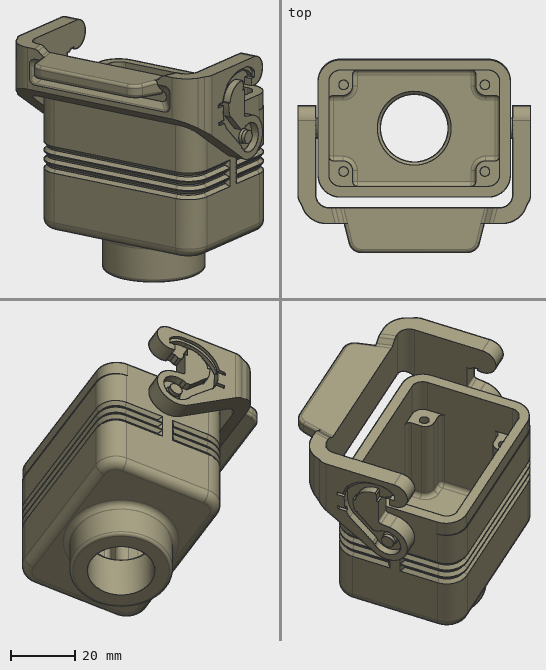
import cadquery as cq
import math

BODY_X, BODY_Y, BODY_R = 60.0, 43.0, 7.0
NECK_LENGTH, NECK_R = 13.1, 16.0
BODY_HEIGHT = 45.0
BODY_BOTTOM = NECK_LENGTH
BODY_TOP = BODY_BOTTOM + BODY_HEIGHT
BODY_BOTTOM_FILLET, NECK_ROOT_FILLET, NECK_END_FILLET = 3.0, 2.0, 1.0
COLLAR_HEIGHT, COLLAR_INSET = 5.1, 0.25
OVERLAP = 1.0
TOLERANCE = 0.01

WALL = 3.4
CAVITY_X, CAVITY_Y = BODY_X - 2 * WALL, BODY_Y - 2 * WALL
CAVITY_R = BODY_R - WALL
FLOOR_THICKNESS = 3.4
FLOOR_Z = BODY_BOTTOM + FLOOR_THICKNESS
BORE_R, BORE_CHAMFER = 10.5, 1.0

POST_SPACING_X, POST_SPACING_Y = 44.0, 27.0
POST_REACH_X, POST_REACH_Y = 2.8, 3.3
POST_R, POST_DROP = 3.0, 11.8
POST_CORNER_FILLET, FLOOR_FILLET = 1.5, 1.49
SCREW_HOLE_R, SCREW_HOLE_DEPTH = 1.5, 15.0

GROOVE_COUNT, GROOVE_WIDTH, GROOVE_DEPTH, GROOVE_PITCH = 3, 2.7, 1.1, 3.0
GROOVE_MID_Z = 36.6
GROOVE_WALL_ANGLE = 45.0
LAND_WIDTH = 3.5

BAIL_HALF_X, LEG_THICKNESS, PLATE_THICKNESS = 36.25, 5.625, 5.0
PLATE_Y, BAIL_TOP = -29.75, 74.7
PLATE_BACK_Y = PLATE_Y + PLATE_THICKNESS
BAIL_OUTER_R, BAIL_INNER_R = 9.0, 4.0
CORNER_FLAT_START, CORNER_FLAT_END = (34.3, -25.8), (35.3, -23.5)
CORNER_BULGE = (36.0, -22.2)
PIVOT_Z, EYE_R = 49.0, 7.0
HOOK_R, HOOK_Y = 4.65, 2.4
HOOK_Z = BAIL_TOP - HOOK_R
HOOK_BOTTOM_Z = HOOK_Z - HOOK_R
LEG_EDGE_Y = -2.85
HOOK_TIP_Y, MOUTH_Z = 0.85, 66.3
MOUTH_FLAT_END_Y, MOUTH_SLOPE_END_Y = -0.6, -1.8
EYE_SHOULDER_ANGLE = math.radians(8.5)
PLATE_CORNER_Z = 61.1
THROAT_FILLET = 1.0

HANDLE_TIP_Y, HANDLE_TIP_HALF_X = -38.75, 19.55
HANDLE_TAPER = math.tan(math.radians(14))
HANDLE_TOP = BAIL_TOP - 2.0
HANDLE_TIP_THICKNESS, HANDLE_ROOT_THICKNESS = 4.15, 4.85
HANDLE_CORNER_R, HANDLE_EDGE_R = 4.0, 1.0
NOTCH_HALF_X, NOTCH_RUN = 21.3, 2.55
NOTCH_CREST_R, NOTCH_ROOT_R = 2.0, 1.5
POCKET_MOUTH_X, POCKET_MOUTH_Z, POCKET_MOUTH_R = 52.1, 7.5, 1.7
POCKET_FLOOR_X, POCKET_FLOOR_Z, POCKET_FLOOR_R = 47.6, 3.5, 1.7
POCKET_MID_Z, POCKET_DEPTH, POCKET_LIP = 67.15, 2.0, 0.5

RECESS_DEPTH, LEDGE_DEPTH, EYE_RECESS_R = 2.5, 1.0, 4.7
PIN_R, PIN_PROUD = 2.1, 2.0
PIN_FLARE, PIN_FLARE_LENGTH = 0.35, 0.8
SPACER_R = 3.2

CHANNEL_TIP = [(2.36, 68.0), (2.36, 68.5)]
CHANNEL_ARCH_RISE, CHANNEL_CROWN = (-0.6, 71.0), (-3.7, 71.4)
CHANNEL_ARCH_FALL, CHANNEL_ARCH_END = (-10.2, 69.5), (-14.6, 64.2)
CHANNEL_OUTER_BEND = [(-14.5, 60.4), (-13.95, 57.5), (-12.65, 55.05)]
ARM_TO_EYE = [(-4.76, 47.5), (-4.2, 46.5), (-2.0, 45.0)]
EYE_TO_ARM = [(-2.0, 53.4), (-3.2, 52.7), (-4.76, 52.7), (-10.2, 58.2)]
CHANNEL_INNER_BEND = [(-10.7, 58.3), (-11.35, 60.3), (-11.6, 63.1)]
CHANNEL_INNER_ARCH = [(-10.85, 63.1), (-8.4, 67.3), (-4.0, 68.6)]
CHANNEL_MOUTH_Y, CHANNEL_MOUTH_Z = -3.6, 68.0
LEDGE_TIP = [(2.6, 68.1), (2.6, 69.9)]
LEDGE_ARCH_RISE, LEDGE_CROWN = (0.15, 71.9), (-3.5, 72.4)
LEDGE_ARCH_FALL, LEDGE_ARCH_END = (-10.5, 70.7), (-15.0, 64.2)
LEDGE_TAB = [(-16.7, 64.2), (-17.1, 63.8), (-17.1, 63.1), (-13.0, 63.1)]
LEDGE_RETURN = [(-9.2, 68.6), (-3.7, 70.0), (0.5, 68.1)]
LOWER_TAB = [(-13.0, 58.25), (-16.9, 58.25), (-16.9, 57.5), (-16.5, 57.15), (-13.0, 57.15)]


def rounded_block(size_x, size_y, radius, bottom, height):
    block = cq.Workplane("XY").box(size_x, size_y, height, centered=(True, True, False))
    return block.edges("|Z").fillet(radius).translate((0, 0, bottom))


def mirrored_pair(solid):
    return solid.union(solid.mirror("YZ"))


def make_shell():
    """Outside of the housing: box, bottom fillet, neck and set-back collar."""
    box = rounded_block(BODY_X, BODY_Y, BODY_R, BODY_BOTTOM, BODY_HEIGHT - COLLAR_HEIGHT)
    box = box.faces("<Z").edges().fillet(BODY_BOTTOM_FILLET)
    collar_bottom = BODY_TOP - COLLAR_HEIGHT
    collar = rounded_block(BODY_X, BODY_Y - COLLAR_INSET, BODY_R, collar_bottom, COLLAR_HEIGHT)
    shell = box.union(collar.translate((0, -COLLAR_INSET / 2, 0)))
    shell = shell.union(cq.Workplane("XY").circle(NECK_R).extrude(NECK_LENGTH + OVERLAP))
    neck_root = cq.selectors.BoxSelector(
        (-NECK_R - OVERLAP, -NECK_R - OVERLAP, BODY_BOTTOM - OVERLAP / 2),
        (NECK_R + OVERLAP, NECK_R + OVERLAP, BODY_BOTTOM + OVERLAP / 2), boundingbox=True)
    shell = shell.edges(neck_root).fillet(NECK_ROOT_FILLET)
    return shell.faces("<Z").edges().fillet(NECK_END_FILLET)


def make_cavity():
    """Solid of the empty space inside: cavity less its four corner posts."""
    post_top = BODY_TOP - POST_DROP
    post_x = CAVITY_X / 2 - POST_SPACING_X / 2 + POST_REACH_X
    post_y = CAVITY_Y / 2 - POST_SPACING_Y / 2 + POST_REACH_Y
    lower = rounded_block(CAVITY_X, CAVITY_Y, CAVITY_R, FLOOR_Z, post_top - FLOOR_Z)
    for side_x in (-1, 1):
        for side_y in (-1, 1):
            post = rounded_block(2 * post_x, 2 * post_y, POST_R, FLOOR_Z, post_top - FLOOR_Z)
            lower = lower.cut(post.translate((side_x * CAVITY_X / 2, side_y * CAVITY_Y / 2, 0)))
    wall_corners = lower.edges("|Z").filter(is_post_wall_corner)
    lower = wall_corners.fillet(POST_CORNER_FILLET)
    lower = lower.faces("<Z").edges().fillet(FLOOR_FILLET)
    upper = rounded_block(CAVITY_X, CAVITY_Y, CAVITY_R, post_top, POST_DROP)
    return lower.union(upper)


def is_post_wall_corner(edge):
    """True for the vertical edges where a post face runs into a cavity wall."""
    centre = edge.Center()
    on_x_wall = abs(abs(centre.x) - CAVITY_X / 2) < TOLERANCE
    on_y_wall = abs(abs(centre.y) - CAVITY_Y / 2) < TOLERANCE
    return on_x_wall or on_y_wall


def make_bore():
    bore = cq.Workplane("XY").circle(BORE_R).extrude(FLOOR_Z + OVERLAP)
    chamfer = cq.Workplane("XY").workplane(offset=FLOOR_Z).circle(BORE_R + BORE_CHAMFER)
    chamfer = chamfer.workplane(offset=-BORE_CHAMFER).circle(BORE_R).loft()
    return bore.union(chamfer)


def make_screw_holes():
    bottom = BODY_TOP - POST_DROP - SCREW_HOLE_DEPTH
    holes = cq.Workplane("XY").workplane(offset=bottom)
    holes = holes.rarray(POST_SPACING_X, POST_SPACING_Y, 2, 2).circle(SCREW_HOLE_R)
    return holes.extrude(SCREW_HOLE_DEPTH)


def make_grooves():
    """Cutters for the trapezoidal grooves, interrupted by a land on each X side."""
    half = GROOVE_WIDTH / 2
    outline = cq.Sketch().rect(BODY_X, BODY_Y).vertices().fillet(BODY_R)
    cone = cq.Workplane("XY").placeSketch(outline).extrude(GROOVE_DEPTH, taper=GROOVE_WALL_ANGLE)
    core = cone.translate((0, 0, -half))
    core = core.union(core.mirror("XY"))
    core = core.union(rounded_block(
        BODY_X - 2 * GROOVE_DEPTH, BODY_Y - 2 * GROOVE_DEPTH, BODY_R - GROOVE_DEPTH,
        -half, GROOVE_WIDTH))
    ring = rounded_block(
        BODY_X + 2 * OVERLAP, BODY_Y + 2 * OVERLAP, BODY_R + OVERLAP, -half, GROOVE_WIDTH).cut(core)
    land_half, root_x = LAND_WIDTH / 2, BODY_X / 2 - 2 * GROOVE_DEPTH
    tip_x = BODY_X / 2 + 2 * OVERLAP
    root_half = land_half + 2 * GROOVE_DEPTH
    land = cq.Workplane("XY").workplane(offset=-half)
    land = land.polyline([(root_x, -root_half), (BODY_X / 2, -land_half), (tip_x, -land_half),
                          (tip_x, land_half), (BODY_X / 2, land_half), (root_x, root_half)])
    land = land.close().extrude(GROOVE_WIDTH)
    groove = ring.cut(mirrored_pair(land))
    grooves = []
    for index in range(GROOVE_COUNT):
        step = index - (GROOVE_COUNT - 1) / 2
        grooves.append(groove.translate((0, 0, GROOVE_MID_Z + step * GROOVE_PITCH)))
    return grooves


def make_housing():
    housing = make_shell().cut(make_cavity()).cut(make_bore()).cut(make_screw_holes())
    for groove in make_grooves():
        housing = housing.cut(groove)
    return housing


def make_leg_profile():
    """Side outline of the bail in Y and Z: hook above, pivot eye below, plate at -Y."""
    reach = math.hypot(PLATE_Y, PLATE_CORNER_Z - PIVOT_Z)
    lean = math.atan2(PLATE_CORNER_Z - PIVOT_Z, -PLATE_Y) + math.asin(EYE_R / reach)
    eye_bottom = (-EYE_R * math.sin(lean), PIVOT_Z - EYE_R * math.cos(lean))
    shoulder_y, shoulder_z = math.sin(EYE_SHOULDER_ANGLE), math.cos(EYE_SHOULDER_ANGLE)
    eye_top = (EYE_R * shoulder_y, PIVOT_Z + EYE_R * shoulder_z)
    throat_z = PIVOT_Z + (EYE_R - LEG_EDGE_Y * shoulder_y) / shoulder_z
    hook_end_z = HOOK_Z - math.sqrt(HOOK_R ** 2 - (HOOK_Y - HOOK_TIP_Y) ** 2)
    outline = cq.Workplane("YZ", origin=(-BAIL_HALF_X, 0, 0))
    outline = outline.moveTo(PLATE_Y, BAIL_TOP).lineTo(HOOK_Y, BAIL_TOP)
    outline = outline.threePointArc((HOOK_Y + HOOK_R, HOOK_Z), (HOOK_Y, HOOK_BOTTOM_Z))
    middle = (HOOK_Y + HOOK_TIP_Y) / 2
    middle_z = HOOK_Z - math.sqrt(HOOK_R ** 2 - (HOOK_Y - middle) ** 2)
    outline = outline.threePointArc((middle, middle_z), (HOOK_TIP_Y, hook_end_z))
    outline = outline.lineTo(HOOK_TIP_Y, MOUTH_Z).lineTo(MOUTH_FLAT_END_Y, MOUTH_Z)
    outline = outline.lineTo(MOUTH_SLOPE_END_Y, HOOK_BOTTOM_Z).lineTo(LEG_EDGE_Y, HOOK_BOTTOM_Z)
    outline = outline.lineTo(LEG_EDGE_Y, throat_z).lineTo(*eye_top)
    diagonal = EYE_R * math.cos(math.pi / 4)
    outline = outline.threePointArc((diagonal, PIVOT_Z - diagonal), eye_bottom)
    outline = outline.lineTo(PLATE_Y, PLATE_CORNER_Z).close()
    profile = outline.extrude(2 * BAIL_HALF_X)
    throat = cq.selectors.NearestToPointSelector((0, LEG_EDGE_Y, throat_z))
    return profile.edges(throat).fillet(THROAT_FILLET)


def make_bail_frame():
    """U-shaped bail: side outline limited to two legs joined by the front plate."""
    back = 2 * HOOK_R
    inner_half_x = BAIL_HALF_X - LEG_THICKNESS
    outer = cq.Workplane("XY").moveTo(0, back).lineTo(0, PLATE_Y)
    outer = outer.lineTo(BAIL_HALF_X - BAIL_OUTER_R, PLATE_Y)
    outer = outer.tangentArcPoint(CORNER_FLAT_START, relative=False).lineTo(*CORNER_FLAT_END)
    outer = outer.threePointArc(CORNER_BULGE, (BAIL_HALF_X, PLATE_Y + BAIL_OUTER_R))
    outer = mirrored_pair(outer.lineTo(BAIL_HALF_X, back).close().extrude(BAIL_TOP))
    inner = cq.Workplane("XY").box(
        2 * inner_half_x, back - PLATE_BACK_Y, BAIL_TOP, centered=(True, False, False))
    inner = inner.translate((0, PLATE_BACK_Y, 0)).edges("|Z and <Y").fillet(BAIL_INNER_R)
    return make_leg_profile().intersect(outer.cut(inner))


def notch_section(y):
    """Trapezoid of the plate's top notch at depth y; it widens with the handle's taper."""
    half_x = NOTCH_HALF_X + (y - PLATE_Y) * HANDLE_TAPER
    top_half_x = half_x + NOTCH_RUN
    section = cq.Workplane("XZ", origin=(0, y, 0))
    section = section.polyline([(-half_x, HANDLE_TOP), (half_x, HANDLE_TOP),
                                (top_half_x, BAIL_TOP), (-top_half_x, BAIL_TOP)])
    return section.close().wires().val()


def cut_notch(bail):
    sections = [notch_section(PLATE_Y - OVERLAP), notch_section(PLATE_BACK_Y + OVERLAP)]
    bail = bail.cut(cq.Workplane(cq.Solid.makeLoft(sections, True)))
    middle_y = (PLATE_Y + PLATE_BACK_Y) / 2
    root_x = NOTCH_HALF_X + PLATE_THICKNESS / 2 * HANDLE_TAPER
    for side in (-1, 1):
        crest = cq.selectors.NearestToPointSelector((side * (root_x + NOTCH_RUN), middle_y, BAIL_TOP))
        bail = bail.edges(crest).fillet(NOTCH_CREST_R)
        root = cq.selectors.NearestToPointSelector((side * root_x, middle_y, HANDLE_TOP))
        bail = bail.edges(root).fillet(NOTCH_ROOT_R)
    return bail


def pocket_outline(width, height, radius):
    return cq.Sketch().rect(width, height).vertices().fillet(radius)


def make_pocket():
    """Cutter for the sloping-walled pocket, with a small bevel round its mouth."""
    mouth = pocket_outline(POCKET_MOUTH_X, POCKET_MOUTH_Z, POCKET_MOUTH_R)
    floor = pocket_outline(POCKET_FLOOR_X, POCKET_FLOOR_Z, POCKET_FLOOR_R)
    lip = pocket_outline(POCKET_MOUTH_X + 2 * POCKET_LIP, POCKET_MOUTH_Z + 2 * POCKET_LIP,
                         POCKET_MOUTH_R + POCKET_LIP)
    bevel_depth = POCKET_LIP / 2
    plate_face = cq.Workplane("XZ", origin=(0, PLATE_Y, POCKET_MID_Z))
    bevel = plate_face.placeSketch(lip, mouth.moved(cq.Location(cq.Vector(0, 0, -bevel_depth)))).loft()
    well = plate_face.workplane(offset=-bevel_depth)
    well = well.placeSketch(mouth, floor.moved(cq.Location(cq.Vector(0, 0, bevel_depth - POCKET_DEPTH))))
    return bevel.union(well.loft())


def make_handle():
    """Tapered grip that thickens toward the plate and runs through it to its back face."""
    root_y = PLATE_BACK_Y
    root_half_x = HANDLE_TIP_HALF_X + (root_y - HANDLE_TIP_Y) * HANDLE_TAPER
    plan = cq.Workplane("XY").polyline([
        (-HANDLE_TIP_HALF_X, HANDLE_TIP_Y), (HANDLE_TIP_HALF_X, HANDLE_TIP_Y),
        (root_half_x, root_y), (-root_half_x, root_y)])
    plan = plan.close().extrude(HANDLE_TOP).edges("|Z and <Y").fillet(HANDLE_CORNER_R)
    growth = (HANDLE_ROOT_THICKNESS - HANDLE_TIP_THICKNESS) / (PLATE_Y - HANDLE_TIP_Y)
    back_thickness = HANDLE_TIP_THICKNESS + growth * (root_y - HANDLE_TIP_Y)
    side = cq.Workplane("YZ").polyline([(HANDLE_TIP_Y, HANDLE_TOP), (root_y, HANDLE_TOP),
                                        (root_y, HANDLE_TOP - back_thickness),
                                        (HANDLE_TIP_Y, HANDLE_TOP - HANDLE_TIP_THICKNESS)])
    side = side.close().extrude(BAIL_HALF_X, both=True)
    handle = plan.intersect(side)
    return handle.faces("<Y").edges(">Z or <Z").fillet(HANDLE_EDGE_R)


def make_channel():
    """Cutter for the deep channel: from the hook, over an arch, down a slanted arm to the eye."""
    channel = cq.Workplane("YZ").polyline(CHANNEL_TIP)
    channel = channel.threePointArc(CHANNEL_ARCH_RISE, CHANNEL_CROWN)
    channel = channel.threePointArc(CHANNEL_ARCH_FALL, CHANNEL_ARCH_END)
    channel = channel.lineTo(*CHANNEL_OUTER_BEND[0]).threePointArc(*CHANNEL_OUTER_BEND[1:])
    for point in ARM_TO_EYE + EYE_TO_ARM:
        channel = channel.lineTo(*point)
    for bend in (CHANNEL_INNER_BEND, CHANNEL_INNER_ARCH):
        channel = channel.lineTo(*bend[0]).threePointArc(*bend[1:])
    channel = channel.lineTo(CHANNEL_MOUTH_Y, CHANNEL_MOUTH_Z).lineTo(CHANNEL_MOUTH_Y, HOOK_BOTTOM_Z)
    channel = channel.lineTo(HOOK_TIP_Y, HOOK_BOTTOM_Z).lineTo(HOOK_TIP_Y, CHANNEL_MOUTH_Z)
    return channel.close().extrude(RECESS_DEPTH)


def make_ledge():
    """Shallow step along the outside of the channel arch, ending in a tab."""
    ledge = cq.Workplane("YZ").polyline(LEDGE_TIP)
    ledge = ledge.threePointArc(LEDGE_ARCH_RISE, LEDGE_CROWN)
    ledge = ledge.threePointArc(LEDGE_ARCH_FALL, LEDGE_ARCH_END)
    for point in LEDGE_TAB:
        ledge = ledge.lineTo(*point)
    ledge = ledge.threePointArc(*LEDGE_RETURN[:2]).lineTo(*LEDGE_RETURN[2])
    return ledge.close().extrude(LEDGE_DEPTH)


def make_lower_tab():
    return cq.Workplane("YZ").polyline(LOWER_TAB).close().extrude(LEDGE_DEPTH)


def make_recess():
    """Cutter for the recess in the -X leg."""
    eye = cq.Workplane("YZ").center(0, PIVOT_Z).circle(EYE_RECESS_R).extrude(RECESS_DEPTH)
    recess = eye.union(make_channel()).union(make_ledge()).union(make_lower_tab())
    return recess.translate((-BAIL_HALF_X, 0, 0))


def make_pin():
    """Pivot pin of the -X leg: spacer disc against the housing and a pin end in the recess."""
    recess_floor_x = -BAIL_HALF_X + RECESS_DEPTH
    recess_floor = cq.Workplane("YZ", origin=(recess_floor_x, 0, PIVOT_Z))
    pin = recess_floor.circle(PIN_R).extrude(-PIN_PROUD)
    root = recess_floor.circle(PIN_R + PIN_FLARE)
    root = root.workplane(offset=-PIN_FLARE_LENGTH).circle(PIN_R).loft()
    spacer_end_x = -BODY_X / 2 + OVERLAP
    spacer = recess_floor.circle(SPACER_R).extrude(spacer_end_x - recess_floor_x)
    return pin.union(root).union(spacer)


def make_bail():
    bail = cut_notch(make_bail_frame()).cut(make_pocket())
    bail = bail.cut(mirrored_pair(make_recess()))
    return bail.union(make_handle()).union(mirrored_pair(make_pin()))


result = make_housing().union(make_bail())